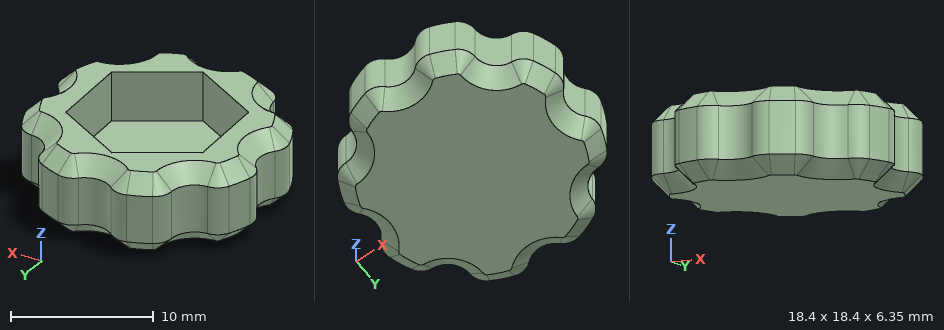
import cadquery as cq

height = 6.35
body_radius = 9.52
edge_chamfer = 1.27

scallop_count = 8
scallop_radius = 1.9
scallop_centre_radius = 10.17
lobe_corner_radius = 1.52

hex_sides = 6
hex_corner_radius = 6.4
hex_corner_diameter = 2 * hex_corner_radius
hex_depth = 3.96
hex_rotation = 90


def make_scalloped_body():
    """Disc with rounded lobes between evenly spaced scallops, the first on +X."""
    scallops = (
        cq.Workplane("XY")
        .polarArray(scallop_centre_radius, 0, 360, scallop_count)
        .circle(scallop_radius)
        .extrude(height)
    )
    disc = cq.Workplane("XY").circle(body_radius).extrude(height)
    return disc.cut(scallops).edges("|Z").fillet(lobe_corner_radius)


def chamfer_rims(body):
    """Bevel the whole outline on both the top and bottom faces."""
    return body.faces(">Z or <Z").edges().chamfer(edge_chamfer)


def make_hex_pocket():
    """Hexagonal prism reaching down from the top face."""
    return (
        cq.Workplane("XY")
        .workplane(offset=height)
        .transformed(rotate=(0, 0, hex_rotation))
        .polygon(hex_sides, hex_corner_diameter)
        .extrude(-hex_depth)
    )


result = chamfer_rims(make_scalloped_body()).cut(make_hex_pocket())